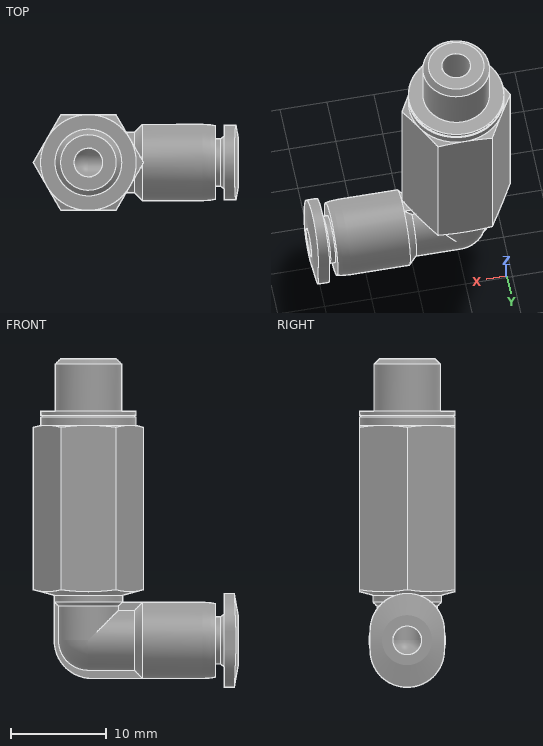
import cadquery as cq
import math


stud_top = 29.48
stud_radius = 7.0 / 2
stud_chamfer = 0.6
washer_radius = 10.0 / 2
washer_top = 23.98
washer_thickness = 0.45
washer_gap = 0.15
washer_gap_depth = 0.15

hex_flats = 10.0
hex_corner_radius = hex_flats / math.sqrt(3)
hex_top = 22.5
hex_bottom = 4.7
hex_chamfer_slope = math.tan(math.radians(15))

elbow_radius = 6.35 / 2
collar_radius = 7.2 / 2
collar_chamfer = collar_radius - elbow_radius
rib_thickness = 1.15

arm_radius = 8.0 / 2
arm_start = 5.65
arm_chamfer = arm_radius - elbow_radius
arm_cap_start = 11.97
arm_cap_line = 12.8
arm_cap_radius = 3.95
arm_end = 13.3
arm_end_radius = 3.85

neck_radius = 5.0 / 2
neck_flare_start = 13.83
neck_flare = 0.28
sleeve_start = 14.2
sleeve_end = 15.7
sleeve_width = 7.8
sleeve_height = 9.85
sleeve_face_radius = 2.6
sleeve_face_drop = 0.4

bore_radius = 3.0 / 2


def turned_about_z(points):
    """Solid of revolution from (radius, z) points."""
    return cq.Workplane("XZ").polyline(points).close().revolve(360, (0, 0), (0, 1))


def turned_about_x(points):
    """Solid of revolution from (x, radius) points."""
    return cq.Workplane("XZ").polyline(points).close().revolve(360, (0, 0), (1, 0))


def make_stud():
    gap_top = washer_top - washer_thickness
    gap_bottom = gap_top - washer_gap
    gap_radius = washer_radius - washer_gap_depth
    return turned_about_z([
        (0, hex_top),
        (washer_radius, hex_top),
        (washer_radius, gap_bottom),
        (gap_radius, gap_bottom),
        (gap_radius, gap_top),
        (washer_radius, gap_top),
        (washer_radius, washer_top),
        (stud_radius, washer_top),
        (stud_radius, stud_top - stud_chamfer),
        (stud_radius - stud_chamfer, stud_top),
        (0, stud_top),
    ])


def make_hexagon():
    prism = (
        cq.Workplane("XY", origin=(0, 0, hex_bottom))
        .polygon(6, 2 * hex_corner_radius)
        .extrude(hex_top - hex_bottom)
    )
    top_drop = (hex_corner_radius - washer_radius) * hex_chamfer_slope
    bottom_rise = (hex_corner_radius - collar_radius) * hex_chamfer_slope
    envelope = turned_about_z([
        (0, hex_bottom),
        (collar_radius, hex_bottom),
        (hex_corner_radius, hex_bottom + bottom_rise),
        (hex_corner_radius, hex_top - top_drop),
        (washer_radius, hex_top),
        (0, hex_top),
    ])
    return prism.intersect(envelope)


def make_collar_and_upright():
    return turned_about_z([
        (0, 0),
        (elbow_radius, 0),
        (elbow_radius, arm_radius - collar_chamfer),
        (collar_radius, arm_radius),
        (collar_radius, hex_bottom),
        (0, hex_bottom),
    ])


def make_rib():
    """Flat plate in the elbow's middle plane with a rounded outer corner."""
    corner_center_x = arm_radius - collar_radius
    corner_offset = arm_radius * math.sqrt(0.5)
    return (
        cq.Workplane("XZ")
        .moveTo(-collar_radius, arm_radius)
        .lineTo(-collar_radius, 0)
        .threePointArc((corner_center_x - corner_offset, -corner_offset), (corner_center_x, -arm_radius))
        .lineTo(arm_start, -arm_radius)
        .lineTo(arm_start, arm_radius)
        .close()
        .extrude(rib_thickness / 2, both=True)
    )


def make_arm():
    return turned_about_x([
        (0, 0),
        (0, elbow_radius),
        (arm_start - arm_chamfer, elbow_radius),
        (arm_start, arm_radius),
        (arm_cap_start, arm_radius),
        (arm_cap_line, arm_cap_radius),
        (arm_end, arm_end_radius),
        (arm_end, neck_radius),
        (neck_flare_start, neck_radius),
        (sleeve_start, neck_radius + neck_flare),
        (sleeve_start, 0),
    ])


def make_sleeve_flange():
    """Oblong flange, long along Z, whose outer face is coned off at the rim."""
    oblong = (
        cq.Workplane("YZ", origin=(sleeve_start, 0, 0))
        .slot2D(sleeve_height, sleeve_width, 90)
        .extrude(sleeve_end - sleeve_start)
    )
    envelope = turned_about_x([
        (sleeve_start, 0),
        (sleeve_start, sleeve_height / 2),
        (sleeve_end - sleeve_face_drop, sleeve_height / 2),
        (sleeve_end, sleeve_face_radius),
        (sleeve_end, 0),
    ])
    return oblong.intersect(envelope)


def make_bore():
    """Passage from the stud end, around a spherical bend, out through the sleeve."""
    upright = cq.Workplane("XY").circle(bore_radius).extrude(stud_top)
    level = cq.Workplane("YZ").circle(bore_radius).extrude(sleeve_end)
    bend = cq.Workplane("XY").sphere(bore_radius)
    return upright.union(level).union(bend)


result = (
    make_hexagon()
    .union(make_stud())
    .union(make_collar_and_upright())
    .union(cq.Workplane("XY").sphere(elbow_radius))
    .union(make_arm())
    .union(make_rib())
    .union(make_sleeve_flange())
    .cut(make_bore())
)